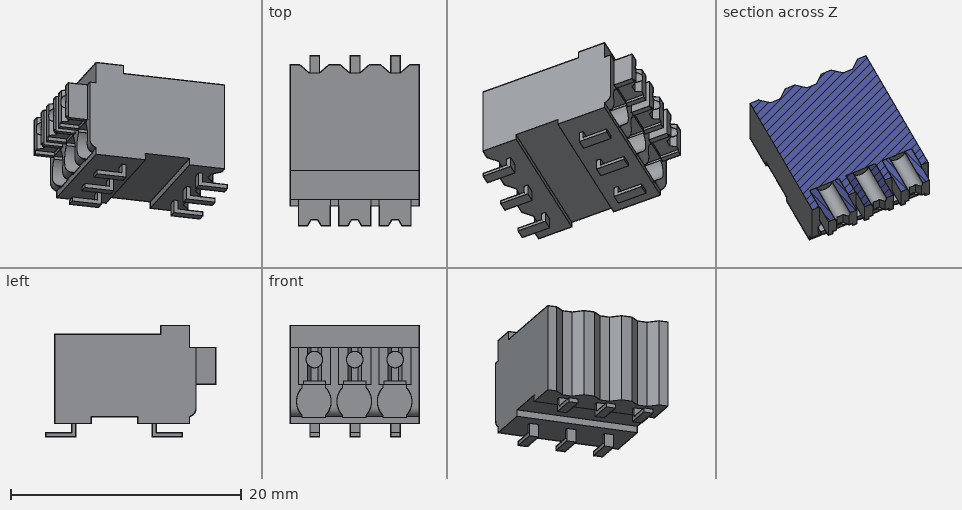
import cadquery as cq
import math


pole_count = 3
pole_pitch = 3.5
pole_centers = [(i - (pole_count - 1) / 2) * pole_pitch for i in range(pole_count)]

housing_width = 11.2
housing_back = 11.68
housing_height = 7.76
bar_depth = 2.51
bar_top = 8.5
ledge_front = -0.58
ledge_top = 6.61
ledge_bottom = 0.6
ledge_radius = 0.78
recess_front = 4.48
recess_back = 8.5
recess_height = 0.59

notch_mouth_width = 2.54
notch_floor_width = 0.88
notch_depth = 0.72

entry_offset = -0.05
entry_back = 1.3
entry_floor = 0.52
entry_width = 2.04
entry_bulge_width = 3.0
entry_bulge_bottom = 0.72
entry_bulge_top = 3.13

button_width = 2.77
button_front = -2.29
button_back = entry_back
button_bottom = 3.39
button_top = ledge_top
groove_mouth_width = 1.2
groove_floor_width = 0.59
groove_depth = 0.52
test_hole_diameter = 1.43
test_hole_z = 5.55
relief_width = 1.92
relief_height = 0.31

pin_offset = 0.03
pin_width = 0.85
pin_thickness = 0.37
pin_drop = 1.15
pin_foot_length = 2.63
front_pin_back = 3.25
rear_pin_front = 9.84


def block(center_x, width, y_range, z_range):
    """Box centred on center_x that fills the given Y and Z ranges."""
    depth = y_range[1] - y_range[0]
    height = z_range[1] - z_range[0]
    corner = (center_x - width / 2, y_range[0], z_range[0])
    return cq.Workplane("XY").box(width, depth, height, centered=False).translate(corner)


def trapezoid_groove(center_x, mouth_width, floor_width, mouth_y, floor_y, z_range):
    """Groove along Z, wide at mouth_y and narrower at floor_y."""
    return (
        cq.Workplane("XY", origin=(center_x, 0, z_range[0]))
        .moveTo(-mouth_width / 2, mouth_y)
        .lineTo(mouth_width / 2, mouth_y)
        .lineTo(floor_width / 2, floor_y)
        .lineTo(-floor_width / 2, floor_y)
        .close()
        .extrude(z_range[1] - z_range[0])
    )


def housing_profile():
    """Side outline extruded across the full width."""
    arc_center_y = ledge_front + ledge_radius
    arc_center_z = ledge_bottom + math.sqrt(ledge_radius**2 - arc_center_y**2)
    half_angle = math.atan2(arc_center_z - ledge_bottom, arc_center_y) / 2
    arc_middle = (
        arc_center_y - ledge_radius * math.cos(half_angle),
        arc_center_z - ledge_radius * math.sin(half_angle),
    )
    return (
        cq.Workplane("YZ", origin=(-housing_width / 2, 0, 0))
        .lineTo(recess_front, 0)
        .lineTo(recess_front, recess_height)
        .lineTo(recess_back, recess_height)
        .lineTo(recess_back, 0)
        .lineTo(housing_back, 0)
        .lineTo(housing_back, housing_height)
        .lineTo(bar_depth, housing_height)
        .lineTo(bar_depth, bar_top)
        .lineTo(0, bar_top)
        .lineTo(0, ledge_top)
        .lineTo(ledge_front, ledge_top)
        .lineTo(ledge_front, arc_center_z)
        .threePointArc(arc_middle, (0, ledge_bottom))
        .close()
        .extrude(housing_width)
    )


def wire_entry(pole_x):
    """Straight channel that opens into the button slot above, with both sides bulging out in arcs."""
    half_width = entry_width / 2
    half_bulge = entry_bulge_width / 2
    bulge_middle = (entry_bulge_bottom + entry_bulge_top) / 2
    return (
        cq.Workplane("XZ", origin=(pole_x + entry_offset, entry_back, 0))
        .moveTo(-half_width, entry_floor)
        .lineTo(half_width, entry_floor)
        .lineTo(half_width, entry_bulge_bottom)
        .threePointArc((half_bulge, bulge_middle), (half_width, entry_bulge_top))
        .lineTo(half_width, button_bottom)
        .lineTo(-half_width, button_bottom)
        .lineTo(-half_width, entry_bulge_top)
        .threePointArc((-half_bulge, bulge_middle), (-half_width, entry_bulge_bottom))
        .close()
        .extrude(entry_back - ledge_front)
    )


def make_housing():
    housing = housing_profile()
    for pole_x in pole_centers:
        button_slot = block(pole_x, button_width, (ledge_front, button_back), (button_bottom, button_top))
        rear_notch = trapezoid_groove(
            pole_x, notch_mouth_width, notch_floor_width,
            housing_back, housing_back - notch_depth, (0, housing_height),
        )
        housing = housing.cut(button_slot).cut(wire_entry(pole_x)).cut(rear_notch)
    return housing


def make_button(pole_x):
    """Push button with a front groove, a test hole and a relief under the part
    that stands out of the housing."""
    z_range = (button_bottom, button_top)
    body = block(pole_x, button_width, (button_front, button_back), z_range)
    groove = trapezoid_groove(
        pole_x, groove_mouth_width, groove_floor_width,
        button_front, button_front + groove_depth, z_range,
    )
    test_hole = (
        cq.Workplane("XZ", origin=(pole_x, button_back, test_hole_z))
        .circle(test_hole_diameter / 2)
        .extrude(button_back - button_front)
    )
    relief_z_range = (button_bottom, button_bottom + relief_height)
    relief = block(pole_x, relief_width, (button_front, ledge_front), relief_z_range)
    return body.cut(groove).cut(test_hole).cut(relief)


def make_pin(pole_x, heel_y, foot_direction):
    """L-shaped pin under the housing; its foot runs from heel_y along Y by foot_direction (+1 or -1)."""
    leg_inner_y = heel_y + foot_direction * pin_thickness
    toe_y = heel_y + foot_direction * pin_foot_length
    foot_top = -pin_drop + pin_thickness
    return (
        cq.Workplane("YZ", origin=(pole_x + pin_offset - pin_width / 2, 0, 0))
        .moveTo(heel_y, 0)
        .lineTo(heel_y, -pin_drop)
        .lineTo(toe_y, -pin_drop)
        .lineTo(toe_y, foot_top)
        .lineTo(leg_inner_y, foot_top)
        .lineTo(leg_inner_y, 0)
        .close()
        .extrude(pin_width)
    )


housing = make_housing()
buttons = [make_button(pole_x) for pole_x in pole_centers]
front_pins = [make_pin(pole_x, front_pin_back, -1) for pole_x in pole_centers]
rear_pins = [make_pin(pole_x, rear_pin_front, 1) for pole_x in pole_centers]

result = cq.Compound.makeCompound(
    [housing.val()] + [body.val() for body in buttons + front_pins + rear_pins]
)